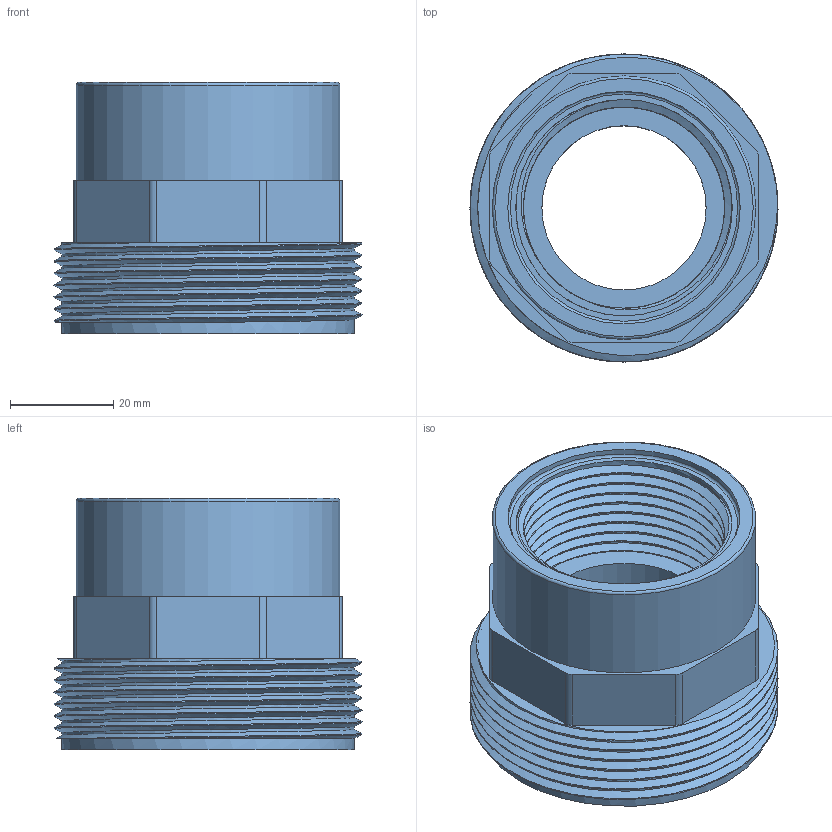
import cadquery as cq
import math

TOTAL_HEIGHT = 48.6
THREADED_HEIGHT = 17.6
WRENCH_TOP = 29.6

FLAT_COUNT = 8
ACROSS_FLATS = 52.0
WRENCH_CORNER_RADIUS = 1.72
SOCKET_DIAMETER = 51.0
EDGE_RADIUS = 0.5

PITCH = 25.4 / 11
FLANK_ANGLE = 27.5
CREST_WIDTH = 0.2
LEAD_IN = 2.2

MALE_MAJOR = 59.61
MALE_MINOR = 56.66
MALE_CREST_HEIGHT = 1.28

FEMALE_MAJOR = 41.91
FEMALE_MINOR = 38.95
FEMALE_FLOOR = 26.3
FEMALE_CREST_HEIGHT = 26.45
RECESS_DIAMETER = 45.0
RECESS_DEPTH = 1.5
RECESS_FLOOR = TOTAL_HEIGHT - RECESS_DEPTH

BORE_DIAMETER = 31.8

ROOT_OVERLAP = 0.2
CLIP_DIAMETER = 2 * MALE_MAJOR


def cylinder(diameter, bottom, top):
    return cq.Workplane("XY", origin=(0, 0, bottom)).circle(diameter / 2).extrude(top - bottom)


def thread_ridge(crest_radius, root_radius, crest_height, bottom, top):
    """Right-handed ridge with a trapezoid profile, cut square at the bottom and top heights."""
    outward = math.copysign(1, crest_radius - root_radius)
    foot_radius = root_radius - outward * ROOT_OVERLAP
    crest_half = CREST_WIDTH / 2
    foot_half = crest_half + abs(crest_radius - foot_radius) * math.tan(math.radians(FLANK_ANGLE))

    start = crest_height + (math.floor((bottom - foot_half - crest_height) / PITCH) - 1) * PITCH
    turns = math.ceil((top + foot_half - start) / PITCH) + 1

    path = cq.Wire.makeHelix(PITCH, turns * PITCH, root_radius, center=cq.Vector(0, 0, start))
    profile = (
        cq.Workplane("XZ")
        .moveTo(foot_radius, start - foot_half)
        .lineTo(crest_radius, start - crest_half)
        .lineTo(crest_radius, start + crest_half)
        .lineTo(foot_radius, start + foot_half)
        .close()
    )
    ridge = profile.sweep(cq.Workplane(path), isFrenet=True)
    return ridge.intersect(cylinder(CLIP_DIAMETER, bottom, top))


def wrench_collar():
    corner_diameter = ACROSS_FLATS / math.cos(math.pi / FLAT_COUNT)
    return (
        cq.Workplane("XY", origin=(0, 0, THREADED_HEIGHT))
        .transformed(rotate=(0, 0, 180 / FLAT_COUNT))
        .polygon(FLAT_COUNT, corner_diameter)
        .extrude(WRENCH_TOP - THREADED_HEIGHT)
        .edges("|Z")
        .fillet(WRENCH_CORNER_RADIUS)
    )


def outer_body():
    socket = cylinder(SOCKET_DIAMETER, WRENCH_TOP, TOTAL_HEIGHT).faces(">Z").edges().fillet(EDGE_RADIUS)
    return cylinder(MALE_MINOR, 0, THREADED_HEIGHT).union(wrench_collar()).union(socket)


def inner_cavity():
    recess = cylinder(RECESS_DIAMETER, RECESS_FLOOR, TOTAL_HEIGHT).faces("<Z").edges().fillet(EDGE_RADIUS)
    female_root = cylinder(FEMALE_MAJOR, FEMALE_FLOOR, RECESS_FLOOR)
    bore = cylinder(BORE_DIAMETER, 0, FEMALE_FLOOR)
    return recess.union(female_root).union(bore)


male_ridge = thread_ridge(
    MALE_MAJOR / 2, MALE_MINOR / 2, MALE_CREST_HEIGHT, LEAD_IN, THREADED_HEIGHT
)
female_ridge = thread_ridge(
    FEMALE_MINOR / 2, FEMALE_MAJOR / 2, FEMALE_CREST_HEIGHT, FEMALE_FLOOR, TOTAL_HEIGHT - LEAD_IN
)

result = outer_body().cut(inner_cavity()).union(male_ridge).union(female_ridge)